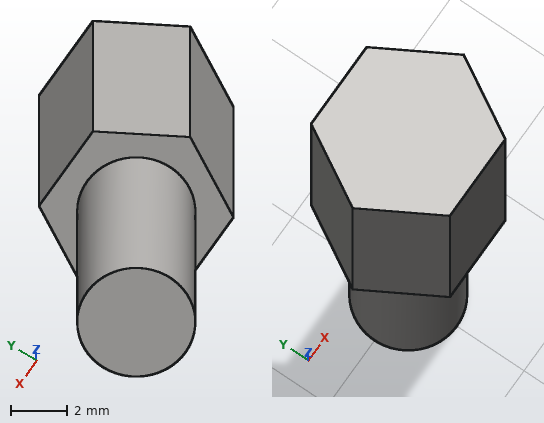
import cadquery as cq

total_length = 20.0
hex_length = total_length / 2
stud_length = total_length - hex_length
hex_across_corners = 6.92
stud_diameter = 4.2

stud = cq.Workplane("XY").circle(stud_diameter / 2).extrude(stud_length)

hex_body = (
    cq.Workplane("XY")
    .workplane(offset=stud_length)
    .polygon(6, hex_across_corners)
    .extrude(hex_length)
)

result = stud.union(hex_body)